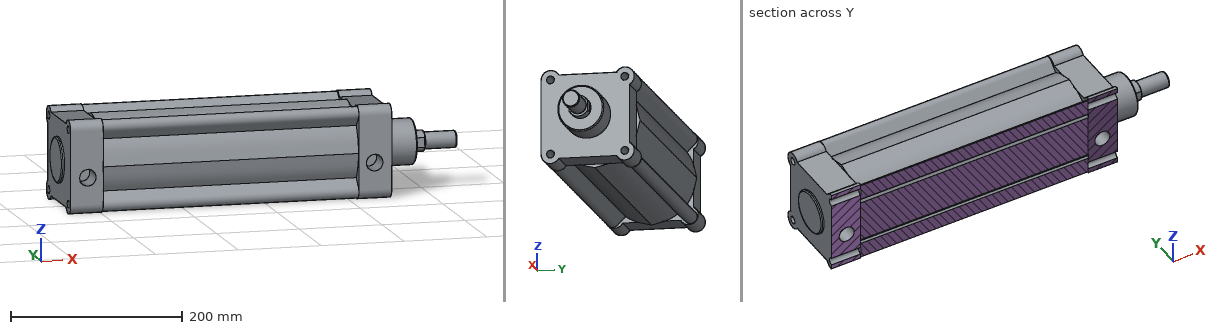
import cadquery as cq
import math


overall_length = 482.5
rear_collar_length = 3.5
cap_length = 39.5
barrel_length = 309.0
front_collar_length = 38.5

rear_cap_start = rear_collar_length
barrel_start = rear_cap_start + cap_length
front_cap_start = barrel_start + barrel_length
front_cap_end = front_cap_start + cap_length
front_collar_end = front_cap_end + front_collar_length

screw_offset = 44.5
corner_lobe_diameter = 22.5
cap_width = 100.0
screw_hole_diameter = 9.0
port_diameter = 20.0
port_depth = 29.0
port_drop = 11.5
port_inset = 20.8
collar_radius = 27.5
collar_chamfer = 1.5

corner_lobe_radius = corner_lobe_diameter / 2
cap_half_width = cap_width / 2
port_face = screw_offset + corner_lobe_radius

side_count = 4
quarter_turn = 2 * math.pi / side_count
barrel_radius = 52.5
ridge_height = 54.0
ridge_half_width = 9.5
rail_spacing = 93.0
rail_width = 16.0

rail_offset = rail_spacing / 2
rail_radius = rail_width / 2

rod_radius = 12.5
rod_collar_length = 3.0
flat_length = 10.0
across_flats = 22.0
thread_radius = 10.0
thread_chamfer_length = 1.5
thread_chamfer_height = 1.0


def cylinder_along_x(start, length, radius):
    return cq.Workplane("YZ").workplane(offset=start).circle(radius).extrude(length)


def box_from_x(start, length, y_range, z_range):
    y_min, y_max = y_range
    z_min, z_max = z_range
    return cq.Workplane("XY").box(length, y_max - y_min, z_max - z_min, centered=False).translate(
        (start, y_min, z_min)
    )


def make_cap_block(start, port_x):
    """Square block with four corner lobes, corner screw holes and a port in its -Y face."""
    corners = [(y, z) for y in (-screw_offset, screw_offset) for z in (-screw_offset, screw_offset)]
    plane = cq.Workplane("YZ").workplane(offset=start)

    core = box_from_x(
        start, cap_length, (-screw_offset, cap_half_width), (-cap_half_width, cap_half_width)
    )
    port_pad = box_from_x(start, cap_length, (-port_face, 0), (-screw_offset, screw_offset))
    lobes = plane.pushPoints(corners).circle(corner_lobe_radius).extrude(cap_length)
    screw_holes = plane.pushPoints(corners).circle(screw_hole_diameter / 2).extrude(cap_length)
    port = (
        cq.Workplane("XZ", origin=(port_x, -port_face, -port_drop))
        .circle(port_diameter / 2)
        .extrude(-port_depth)
    )
    return core.union(port_pad).union(lobes).cut(screw_holes).cut(port)


def make_rear_cap():
    collar = cylinder_along_x(0, rear_collar_length, collar_radius).faces("<X").chamfer(collar_chamfer)
    return make_cap_block(rear_cap_start, rear_cap_start + port_inset).union(collar)


def make_front_cap():
    collar = cylinder_along_x(front_cap_end, front_collar_length, collar_radius)
    collar = collar.faces(">X").chamfer(collar_chamfer)
    rod_bore = cylinder_along_x(front_cap_start, front_collar_end - front_cap_start, rod_radius)
    return make_cap_block(front_cap_start, front_cap_end - port_inset).union(collar).cut(rod_bore)


def polar(radius, angle):
    return radius * math.cos(angle), radius * math.sin(angle)


def make_barrel():
    """Round barrel with a ridge on each side and a round-nosed rail on each corner diagonal."""
    ridge_angle = math.asin(ridge_half_width / barrel_radius)
    root_angle = math.asin(rail_radius / barrel_radius)
    nose_center = rail_offset * math.sqrt(2)
    nose_start_radius = math.hypot(nose_center, rail_radius)
    nose_angle = math.atan2(rail_radius, nose_center)

    profile = cq.Workplane("YZ").workplane(offset=barrel_start).moveTo(ridge_height, 0)
    for quarter in range(side_count):
        side = quarter * quarter_turn
        diagonal = side + quarter_turn / 2
        next_side = side + quarter_turn
        ridge_end = side + ridge_angle
        rail_root = diagonal - root_angle
        far_root = diagonal + root_angle
        next_ridge = next_side - ridge_angle
        profile = (
            profile.lineTo(*polar(barrel_radius, ridge_end))
            .threePointArc(
                polar(barrel_radius, (ridge_end + rail_root) / 2), polar(barrel_radius, rail_root)
            )
            .lineTo(*polar(nose_start_radius, diagonal - nose_angle))
            .threePointArc(
                polar(nose_center + rail_radius, diagonal),
                polar(nose_start_radius, diagonal + nose_angle),
            )
            .lineTo(*polar(barrel_radius, far_root))
            .threePointArc(
                polar(barrel_radius, (far_root + next_ridge) / 2), polar(barrel_radius, next_ridge)
            )
            .lineTo(*polar(ridge_height, next_side))
        )
    return profile.close().extrude(barrel_length)


def make_piston_rod():
    """Rod with two wrench flats facing -Y and +Y and a plain threaded end, chamfered at each end."""
    flat_start = front_collar_end + rod_collar_length
    flat_end = flat_start + flat_length
    shank = cylinder_along_x(front_cap_start, flat_end - front_cap_start, rod_radius)
    flat_stock = box_from_x(
        flat_start, flat_length, (across_flats / 2, rod_radius), (-rod_radius, rod_radius)
    )
    shank = shank.cut(flat_stock).cut(flat_stock.mirror("XZ"))

    thread = cylinder_along_x(flat_end, overall_length - flat_end, thread_radius)
    thread = thread.faces("<X or >X").edges().chamfer(thread_chamfer_length, thread_chamfer_height)
    return shank.union(thread)


rear_cap = make_rear_cap()
barrel = make_barrel()
front_cap = make_front_cap()
piston_rod = make_piston_rod()

result = cq.Compound.makeCompound(
    [rear_cap.val(), barrel.val(), front_cap.val(), piston_rod.val()]
)